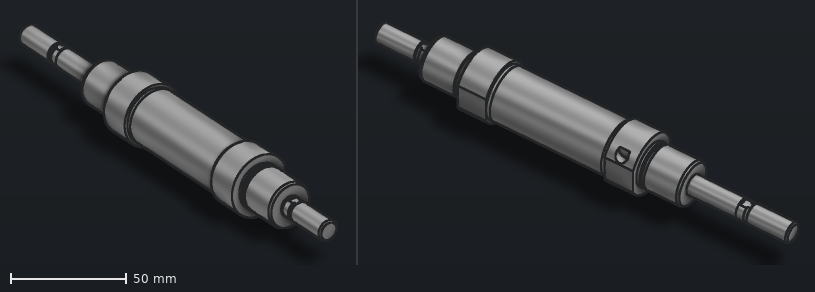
import cadquery as cq

total_length = 218.0

rod_diameter = 10.0
rod_end_chamfer = 0.9
thread_length = 21.1
thread_chamfer = 0.5
relief_diameter = 9.2
relief_width = 1.5
neck_diameter = 9.8
neck_end = 27.0
flats_end = 26.4
flats_width = 8.7

cap_start = 53.0
cap_end = 190.0
nose_diameter = 22.0
nose_chamfer_length = 1.3
nose_chamfer_height = 0.7
nose_length = 18.3
groove_diameter = 19.6
groove_width = 2.0
collar_length = 2.0
collar_chamfer = 0.5
head_diameter = 30.0
head_length = 15.0
head_flat_height = 13.5
spigot_length = 2.0

port_diameter = 6.0
port_height = 10.2
port_bottom = 9.0

tube_diameter = 27.0

groove_start = nose_length
groove_end = groove_start + groove_width
head_start = groove_end + collar_length
head_end = head_start + head_length
cap_length = head_end + spigot_length
port_x = cap_start + head_start + head_length / 2


def turned(profile):
    """Solid of revolution about X from (x, radius) points running along the outside."""
    outline = [(profile[0][0], 0)] + profile + [(profile[-1][0], 0)]
    return cq.Workplane("XZ").polyline(outline).close().revolve(360, (0, 0, 0), (1, 0, 0))


def cylinder(start, length, diameter):
    """Cylinder along X, starting at x = start."""
    return cq.Workplane("YZ", origin=(start, 0, 0)).circle(diameter / 2).extrude(length)


def mirrored(body, plane_x):
    """Copy of a body, mirrored in the plane x = plane_x."""
    return body.mirror("YZ", (plane_x, 0, 0))


def make_rod():
    """Rod with the same threaded end, relief and flattened neck at both ends."""
    rod_radius = rod_diameter / 2
    relief_radius = relief_diameter / 2
    neck_radius = neck_diameter / 2
    relief_start = thread_length + thread_chamfer
    relief_end = relief_start + relief_width
    left_half = [
        (0, rod_radius - rod_end_chamfer),
        (rod_end_chamfer, rod_radius),
        (thread_length, rod_radius),
        (relief_start, relief_radius),
        (relief_end, relief_radius),
        (relief_end, neck_radius),
        (neck_end, neck_radius),
        (neck_end, rod_radius),
    ]
    right_half = [(total_length - x, radius) for x, radius in reversed(left_half)]
    rod = turned(left_half + right_half)

    flats_length = flats_end - relief_start
    above_flat = cq.Workplane("XY").box(
        flats_length, rod_diameter, rod_diameter, centered=(False, True, False)
    ).translate((relief_start, 0, flats_width / 2))
    for side in (above_flat, above_flat.mirror("XY")):
        rod = rod.cut(side).cut(mirrored(side, total_length / 2))
    return rod


def make_end_cap():
    """Left end cap: grooved nose, collar, flat-sided head and spigot flush with the tube."""
    nose_radius = nose_diameter / 2
    groove_radius = groove_diameter / 2
    head_radius = head_diameter / 2
    spigot_radius = tube_diameter / 2
    cap = turned([
        (0, nose_radius - nose_chamfer_height),
        (nose_chamfer_length, nose_radius),
        (groove_start, nose_radius),
        (groove_start, groove_radius),
        (groove_end, groove_radius),
        (groove_end, nose_radius - collar_chamfer),
        (groove_end + collar_chamfer, nose_radius),
        (head_start, nose_radius),
        (head_start, head_radius),
        (head_end, head_radius),
        (head_end, spigot_radius),
        (cap_length, spigot_radius),
    ])
    beyond_flat = cq.Workplane("XY").box(
        cap_length, head_diameter, head_diameter, centered=(False, False, True)
    ).translate((0, head_flat_height, 0))
    rod_bore = cylinder(0, cap_length, rod_diameter)
    return cap.cut(beyond_flat).cut(rod_bore).translate((cap_start, 0, 0))


def side_port():
    """Blind round hole along Y near the top of the head; it breaks through the curved surface."""
    port = cq.Workplane("XZ", origin=(port_x, head_diameter / 2, port_height))
    return port.circle(port_diameter / 2).extrude(head_diameter / 2 - port_bottom)


def make_tube():
    """Tube between the two end caps, bored for the rod."""
    tube_start = cap_start + cap_length
    tube_length = cap_end - cap_length - tube_start
    return cylinder(tube_start, tube_length, tube_diameter).cut(
        cylinder(tube_start, tube_length, rod_diameter))


rod = make_rod()
tube = make_tube()
plain_cap = make_end_cap()
left_cap = plain_cap.cut(side_port())
right_cap = mirrored(plain_cap, (cap_start + cap_end) / 2)

result = cq.Compound.makeCompound([rod.val(), tube.val(), left_cap.val(), right_cap.val()])